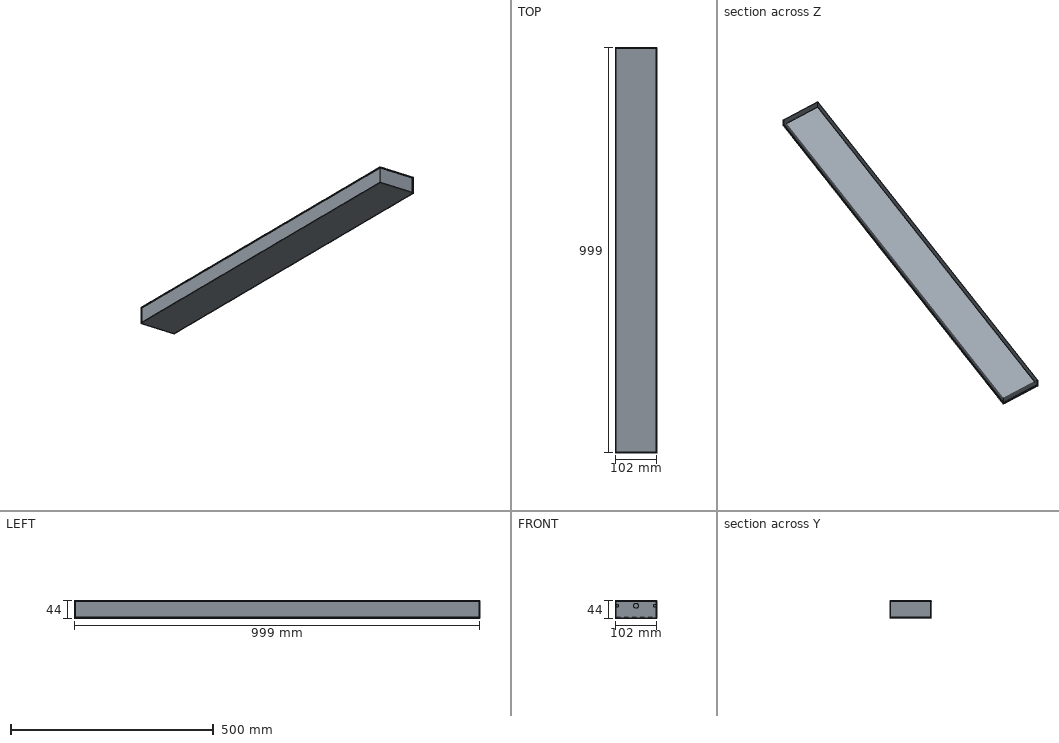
import cadquery as cq

WIDTH = 102
LENGTH = 999
HEIGHT = 44

LID_THICKNESS = 2
SIDE_WALL = 2
END_WALL = 2.5
FLOOR = 3
TRAY_HEIGHT = HEIGHT - LID_THICKNESS

CORNER_RADIUS = 0.9
TOP_EDGE_RADIUS = 1.5
BOTTOM_EDGE_RADIUS = 0.5

RECESS_AXIS_Z = 31
RECESS_DEPTH = 1
CENTRE_RECESS_DIAMETER = 12
SIDE_RECESS_DIAMETER = 6.65
SIDE_RECESS_OFFSET = 46.5


def block(width, length, height, bottom):
    """Box centred on X and Y with its underside at the given height."""
    base = cq.Workplane("XY").workplane(offset=bottom)
    return base.box(width, length, height, centered=(True, True, False))


def rounded_envelope():
    """Outer shape that the tray and the lid share."""
    envelope = block(WIDTH, LENGTH, HEIGHT, 0)
    envelope = envelope.edges("|Z").fillet(CORNER_RADIUS)
    envelope = envelope.edges("|Y and >Z").fillet(TOP_EDGE_RADIUS)
    return envelope.edges("|Y and <Z").fillet(BOTTOM_EDGE_RADIUS)


def end_recess(x, diameter):
    """Cutter for a blind round recess in the outer face of the -Y end wall."""
    end_face = cq.Workplane("XZ", origin=(x, -LENGTH / 2, RECESS_AXIS_Z))
    return end_face.circle(diameter / 2).extrude(-RECESS_DEPTH)


def make_tray(envelope):
    """Open-topped tray with the recesses in its -Y end."""
    tray = envelope.intersect(block(WIDTH, LENGTH, TRAY_HEIGHT, 0))
    inner_width = WIDTH - 2 * SIDE_WALL
    inner_length = LENGTH - 2 * END_WALL
    tray = tray.cut(block(inner_width, inner_length, TRAY_HEIGHT - FLOOR, FLOOR))
    tray = tray.cut(end_recess(0, CENTRE_RECESS_DIAMETER))
    for side in (-1, 1):
        tray = tray.cut(end_recess(side * SIDE_RECESS_OFFSET, SIDE_RECESS_DIAMETER))
    return tray


def make_lid(envelope):
    """Flat lid that closes the tray."""
    return envelope.intersect(block(WIDTH, LENGTH, LID_THICKNESS, TRAY_HEIGHT))


housing_envelope = rounded_envelope()
tray = make_tray(housing_envelope)
lid = make_lid(housing_envelope)

result = cq.Compound.makeCompound([*tray.solids().vals(), *lid.solids().vals()])